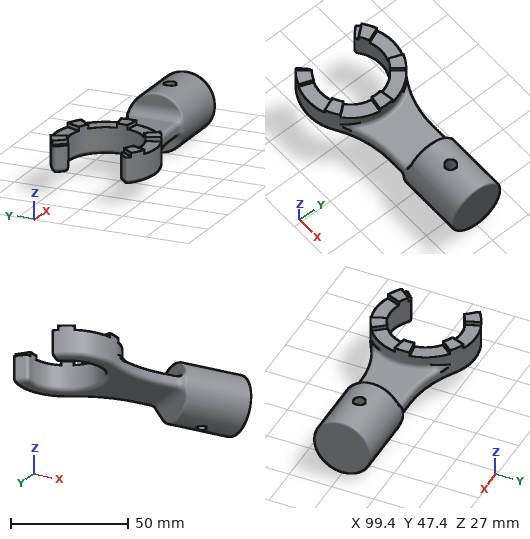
import cadquery as cq
import math

length = 99.4
socket_radius = 27.0 / 2
socket_length = 31.0
socket_edge_radius = 1.0
socket_face_x = length - socket_length

pin_x = 82.2
pin_diameter_top = 5.5
pin_diameter_bottom = 4.5

ring_outer_radius = 47.4 / 2
ring_inner_radius = 33.5 / 2
ring_top = 9.1
half_thickness = 3.1
opening_half_angle = 45.0
tip_outer_edge_radius = 1.0
tip_inner_edge_radius = 2.0
tip_round_distance = math.sqrt((ring_outer_radius - tip_outer_edge_radius) ** 2 - tip_outer_edge_radius**2)
opening_angle_radians = math.radians(opening_half_angle)
ring_x = (
    tip_round_distance * math.cos(opening_angle_radians)
    - tip_outer_edge_radius * math.sin(opening_angle_radians)
    + tip_outer_edge_radius
)

tooth_height = 1.9
tooth_pitch = 60.0
tooth_width_angle = 17.2
tooth_numbers = range(-2, 3)

neck_half_width = 12.0
neck_straight_x = 56.3
edge_radius = 2.0
root_radius = 5.0

edge_search_margin = 0.1


def sector(radius, start_angle, end_angle, bottom, height):
    """Wedge around the ring axis, bounded by two radial faces and an arc."""
    def point(angle):
        return (radius * math.cos(math.radians(angle)), radius * math.sin(math.radians(angle)))

    return (
        cq.Workplane("XY", origin=(ring_x, 0, bottom))
        .lineTo(*point(start_angle))
        .threePointArc(point((start_angle + end_angle) / 2), point(end_angle))
        .close()
        .extrude(height)
    )


def jaw_corners(radius):
    """Selector for the upright edges where the jaw end faces meet the given ring radius."""
    corner_x = ring_x - radius * math.cos(opening_angle_radians)
    corner_y = radius * math.sin(opening_angle_radians)
    middle_z = (ring_top - half_thickness) / 2
    boxes = [
        cq.selectors.BoxSelector(
            (corner_x - edge_search_margin, y - edge_search_margin, middle_z - edge_search_margin),
            (corner_x + edge_search_margin, y + edge_search_margin, middle_z + edge_search_margin),
        )
        for y in (corner_y, -corner_y)
    ]
    return boxes[0] + boxes[1]


def make_neck_plate():
    """Plate whose concave sides run tangent from the ring into a straight shank."""
    run = neck_straight_x - ring_x
    side_radius = (run**2 + neck_half_width**2 - ring_outer_radius**2) / (
        2 * (ring_outer_radius - neck_half_width)
    )
    side_centre_y = neck_half_width + side_radius
    scale = ring_outer_radius / (ring_outer_radius + side_radius)
    tangent_x = ring_x + run * scale
    tangent_y = side_centre_y * scale
    half_turn = math.atan2(run, side_centre_y) / 2
    middle_x = neck_straight_x - side_radius * math.sin(half_turn)
    middle_y = side_centre_y - side_radius * math.cos(half_turn)
    end_x = socket_face_x + root_radius
    return (
        cq.Workplane("XY", origin=(0, 0, -half_thickness))
        .moveTo(ring_x, 0)
        .lineTo(tangent_x, tangent_y)
        .threePointArc((middle_x, middle_y), (neck_straight_x, neck_half_width))
        .lineTo(end_x, neck_half_width)
        .lineTo(end_x, -neck_half_width)
        .lineTo(neck_straight_x, -neck_half_width)
        .threePointArc((middle_x, -middle_y), (tangent_x, -tangent_y))
        .close()
        .extrude(2 * half_thickness)
    )


def make_wrench_head():
    """Ring with its neck: rounded along the top of the neck, open towards -X, rounded below."""
    body = (
        cq.Workplane("XY", origin=(ring_x, 0, -half_thickness))
        .circle(ring_outer_radius)
        .extrude(ring_top + half_thickness)
        .union(make_neck_plate())
    )
    neck_top_edges = cq.selectors.BoxSelector(
        (ring_x, -ring_outer_radius, half_thickness - edge_search_margin),
        (socket_face_x, ring_outer_radius, half_thickness + edge_search_margin),
    )
    body = body.edges(neck_top_edges).fillet(edge_radius)

    height = ring_top + half_thickness
    bore = (
        cq.Workplane("XY", origin=(ring_x, 0, -half_thickness))
        .circle(ring_inner_radius)
        .extrude(height)
    )
    opening_start = 180 - opening_half_angle
    opening_end = 180 + opening_half_angle
    opening = sector(2 * ring_outer_radius, opening_start, opening_end, -half_thickness, height)
    body = body.cut(bore).cut(opening)
    body = body.edges(jaw_corners(ring_outer_radius)).fillet(tip_outer_edge_radius)
    body = body.edges(jaw_corners(ring_inner_radius)).fillet(tip_inner_edge_radius)
    return body.faces("<Z").edges("not(>X)").fillet(edge_radius)


def make_teeth():
    """Evenly spaced wedge teeth, flush with the ring inside and out."""
    wedges = cq.Workplane("XY")
    for number in tooth_numbers:
        middle = number * tooth_pitch
        start = middle - tooth_width_angle / 2
        end = middle + tooth_width_angle / 2
        wedges = wedges.union(sector(2 * ring_outer_radius, start, end, ring_top, tooth_height))
    tooth_band = (
        cq.Workplane("XY", origin=(ring_x, 0, ring_top))
        .circle(ring_outer_radius)
        .circle(ring_inner_radius)
        .extrude(tooth_height)
    )
    return tooth_band.intersect(wedges)


def flare_neck_into_socket(body):
    """Root fillet formed against an oversized wall, then trimmed to the socket's outline."""
    wall_size = 4 * socket_radius
    wall = (
        cq.Workplane("YZ", origin=(socket_face_x, 0, 0))
        .rect(wall_size, wall_size)
        .extrude(2 * root_radius)
    )
    body = body.union(wall)
    root_edges = cq.selectors.BoxSelector(
        (socket_face_x - edge_search_margin, -socket_radius, -half_thickness - edge_search_margin),
        (socket_face_x + edge_search_margin, socket_radius, half_thickness + edge_search_margin),
    )
    body = body.edges(root_edges).fillet(root_radius)
    trim = (
        cq.Workplane("YZ", origin=(neck_straight_x, 0, 0))
        .rect(2 * wall_size, 2 * wall_size)
        .circle(socket_radius)
        .extrude(length)
    )
    return body.cut(trim)


def make_socket():
    return (
        cq.Workplane("YZ", origin=(socket_face_x, 0, 0))
        .circle(socket_radius)
        .extrude(socket_length)
        .edges(">X")
        .fillet(socket_edge_radius)
    )


def round_socket_face(body):
    """Round the two arcs of the socket's front rim that lie above and below the neck flare."""
    root_top = half_thickness + root_radius + edge_search_margin
    upper_arc = cq.selectors.BoxSelector(
        (socket_face_x - edge_search_margin, -edge_search_margin, root_top),
        (socket_face_x + edge_search_margin, edge_search_margin, socket_radius),
    )
    lower_arc = cq.selectors.BoxSelector(
        (socket_face_x - edge_search_margin, -edge_search_margin, -socket_radius),
        (socket_face_x + edge_search_margin, edge_search_margin, -root_top),
    )
    return body.edges(upper_arc + lower_arc).fillet(socket_edge_radius)


def make_pin_hole():
    upper = cq.Workplane("XY", origin=(pin_x, 0, 0)).circle(pin_diameter_top / 2).extrude(socket_radius)
    lower = cq.Workplane("XY", origin=(pin_x, 0, 0)).circle(pin_diameter_bottom / 2).extrude(-socket_radius)
    return upper.union(lower)


head = flare_neck_into_socket(make_wrench_head())
body = round_socket_face(head.union(make_socket()))
result = body.union(make_teeth()).cut(make_pin_hole())